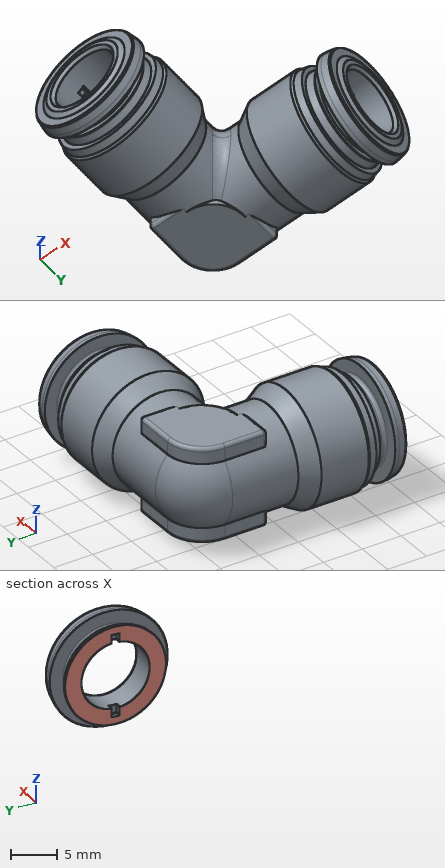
import cadquery as cq

overall_length = 29.55
socket_diameter = 14.5
socket_radius = socket_diameter / 2
port_reach = overall_length - socket_radius

tube_radius = 6.03
crotch_radius = 1.42
cone_start = 8.48
cone_end = 10.67
socket_end = 16.75
bevel_end = 17.05
bevel_radius = 7.03
shoulder_end = 18.03
shoulder_end_radius = 6.83
lip_base_radius = 6.18
lip_land = 0.1
lip_end = 19.12
lip_end_radius = 5.97
lip_chamfer = 0.05

neck_radius = 5.05
neck_flare = 0.45
flange_start = 20.3
flange_radius = 7.05
flange_taper_start = 20.85
flange_taper_radius = 7.0
flange_taper_end = 21.78
flange_edge_radius = 6.83
flange_face = 21.95
flange_face_radius = 6.7
mouth_cone_radius = 5.67
mouth_rim_radius = 5.0
bore_radius = 4.05
bore_floor = 18.05
mouth_chamfer_width = 0.35
mouth_chamfer_depth = 0.45
slit_width = 0.95
slit_end = 19.3
lower_port_slit_angle = 40.0

pad_inset = 4.45
pad_extent = 5.5
pad_edge_radius = 0.45
pad_inner_radius = 4.52


def make_body_leg():
    """Tube and socket of one port about the X axis, with a seat for the collet in its end."""
    return (
        cq.Workplane("XY")
        .lineTo(0, tube_radius)
        .lineTo(cone_start, tube_radius)
        .lineTo(cone_end, socket_radius)
        .lineTo(socket_end, socket_radius)
        .lineTo(bevel_end, bevel_radius)
        .lineTo(shoulder_end, shoulder_end_radius)
        .lineTo(shoulder_end, lip_base_radius)
        .lineTo(shoulder_end + lip_land, lip_base_radius)
        .lineTo(lip_end - lip_chamfer, lip_end_radius)
        .lineTo(lip_end, lip_end_radius - lip_chamfer)
        .lineTo(lip_end, neck_radius)
        .lineTo(bore_floor, neck_radius)
        .lineTo(bore_floor, 0)
        .close()
        .revolve(360, (0, 0, 0), (1, 0, 0))
    )


def make_collet():
    """Hollow flanged collet on the X axis, slit on both sides near its bore floor."""
    collet = (
        cq.Workplane("XY")
        .moveTo(bore_floor, bore_radius)
        .lineTo(bore_floor, neck_radius)
        .lineTo(flange_start - neck_flare, neck_radius)
        .radiusArc((flange_start, neck_radius + neck_flare), -neck_flare)
        .lineTo(flange_start, flange_radius)
        .lineTo(flange_taper_start, flange_taper_radius)
        .lineTo(flange_taper_end, flange_edge_radius)
        .lineTo(flange_face, flange_face_radius)
        .lineTo(flange_face, mouth_cone_radius)
        .lineTo(port_reach, mouth_rim_radius)
        .lineTo(port_reach, bore_radius + mouth_chamfer_width)
        .lineTo(port_reach - mouth_chamfer_depth, bore_radius)
        .close()
        .revolve(360, (0, 0, 0), (1, 0, 0))
    )
    slit = cq.Workplane("XY").box(
        slit_end - bore_floor, slit_width, 2 * neck_radius, centered=(False, True, True)
    )
    return collet.cut(slit.translate((bore_floor, 0, 0)))


def to_lower_port(shape):
    """Turn a shape from the +X port to the -Y port."""
    return shape.rotate((0, 0, 0), (0, 0, 1), -90)


def make_pad():
    """Upper pad: a rounded block level with the tube crest, cut back by an arc over the crotch."""
    side = pad_inset + pad_extent
    pad = (
        cq.Workplane("XY")
        .box(side, side, tube_radius, centered=False)
        .translate((-pad_inset, -pad_extent, 0))
    )
    pad = pad.edges("|Z and <X and >Y").fillet(pad_inset)
    pad = pad.edges("(|Z and >X and >Y) or (|Z and <X and <Y)").fillet(pad_edge_radius)
    pad = pad.faces(">Z").edges().fillet(pad_edge_radius)

    quadrant = cq.Workplane("XY").box(side, side, tube_radius, centered=False).translate((0, -side, 0))
    inner_arc = cq.Workplane("XY").circle(pad_inner_radius).extrude(tube_radius)
    return pad.cut(quadrant.cut(inner_arc))


def make_elbow():
    """Both legs joined over a ball corner, with pads and a rounded crotch."""
    leg = make_body_leg()
    elbow = leg.union(to_lower_port(leg)).union(cq.Workplane("XY").sphere(tube_radius))
    pad = make_pad()
    elbow = elbow.union(pad).union(pad.mirror("XY"))
    crotch_zone = cq.selectors.BoxSelector(
        (0, 0, -tube_radius), (tube_radius, -tube_radius, tube_radius)
    )
    return elbow.edges("%ELLIPSE").edges(crotch_zone).fillet(crotch_radius)


collet = make_collet()
lower_collet = to_lower_port(collet.rotate((0, 0, 0), (1, 0, 0), lower_port_slit_angle))
result = make_elbow().union(collet).union(lower_collet)